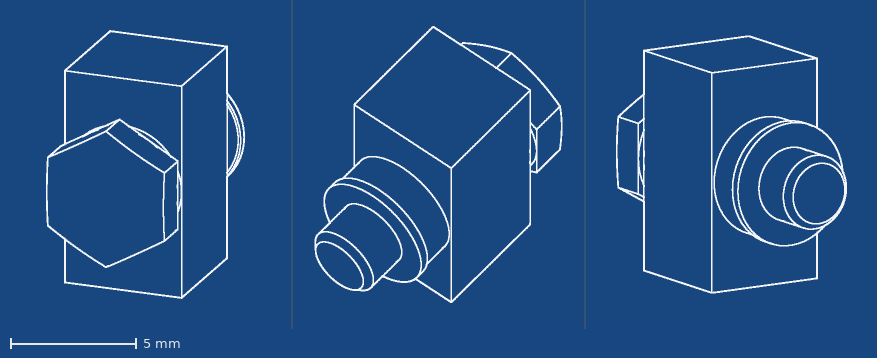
import cadquery as cq
import math

head_length = 1.6
washer_thickness = 0.4
block_depth = 5.0
collar_length = 1.51
flange_thickness = 0.4
total_length = 11.0
pin_length = (
    total_length - head_length - washer_thickness - block_depth - collar_length - flange_thickness
)

block_width = 5.0
block_height = 9.0
washer_diameter = block_width
collar_diameter = 4.8
flange_diameter = block_width
pin_diameter = 3.0
pin_tip_diameter = 2.46
pin_taper_length = 0.31
head_across_flats = block_width
head_bevel_depth = 0.11

washer_start = head_length
block_start = washer_start + washer_thickness
collar_start = block_start + block_depth
flange_start = collar_start + collar_length
pin_start = flange_start + flange_thickness


def section_plane(y):
    """XZ sketch plane at y whose normal points toward +Y."""
    return cq.Workplane(cq.Plane(origin=(0, y, 0), xDir=(1, 0, 0), normal=(0, 1, 0)))


def disc(y, diameter, length):
    """Round disc reaching from y toward +Y."""
    return section_plane(y).circle(diameter / 2).extrude(length)


def hex_head():
    """Hexagon with corners up and down, its front corners bevelled by a cone."""
    across_corners = head_across_flats / math.cos(math.pi / 6)
    prism = (
        section_plane(0)
        .transformed(rotate=(0, 0, 90))
        .polygon(6, across_corners)
        .extrude(head_length)
    )
    bevel_envelope = (
        cq.Workplane("XY")
        .polyline([
            (0, 0),
            (head_across_flats / 2, 0),
            (across_corners / 2, head_bevel_depth),
            (across_corners / 2, head_length),
            (0, head_length),
        ])
        .close()
        .revolve(360, (0, 0, 0), (0, 1, 0))
    )
    return prism.intersect(bevel_envelope)


def pin():
    """Round pin with a tapered tip."""
    tip_inset = (pin_diameter - pin_tip_diameter) / 2
    blank = disc(pin_start, pin_diameter, pin_length)
    return blank.faces(">Y").edges().chamfer(pin_taper_length, tip_inset)


block = section_plane(block_start).rect(block_width, block_height).extrude(block_depth)

result = (
    block
    .union(disc(washer_start, washer_diameter, washer_thickness))
    .union(hex_head())
    .union(disc(collar_start, collar_diameter, collar_length))
    .union(disc(flange_start, flange_diameter, flange_thickness))
    .union(pin())
)